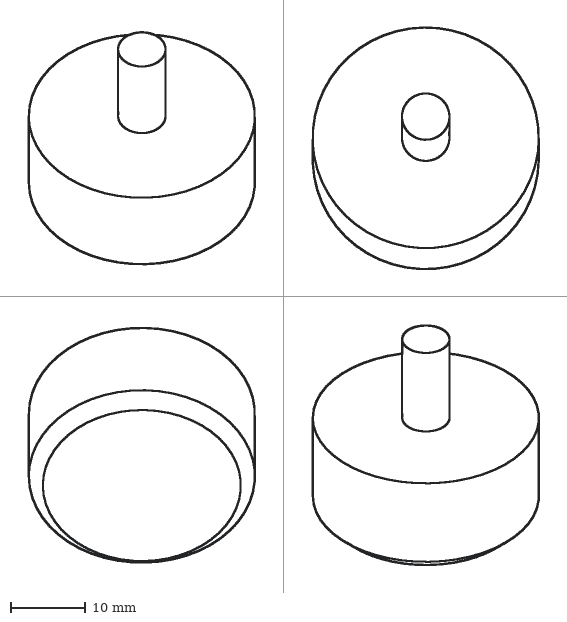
import cadquery as cq

BODY_DIAMETER = 30.5
BODY_HEIGHT = 13.0
PIN_DIAMETER = 6.4
PIN_HEIGHT = 13.0
BEVEL = 1.9
POINT_HEIGHT = 4.0

body_radius = BODY_DIAMETER / 2
pin_radius = PIN_DIAMETER / 2
cone_radius = body_radius - BEVEL
wall_bottom = POINT_HEIGHT + BEVEL
body_top = wall_bottom + BODY_HEIGHT
pin_top = body_top + PIN_HEIGHT


def make_part():
    """Revolve the half profile, from the tip up to the pin end, about the Z axis."""
    profile = (
        cq.Workplane("XZ")
        .moveTo(0, 0)
        .lineTo(cone_radius, POINT_HEIGHT)
        .lineTo(body_radius, wall_bottom)
        .lineTo(body_radius, body_top)
        .lineTo(pin_radius, body_top)
        .lineTo(pin_radius, pin_top)
        .lineTo(0, pin_top)
        .close()
    )
    return profile.revolve(360, (0, 0, 0), (0, 1, 0))


result = make_part()